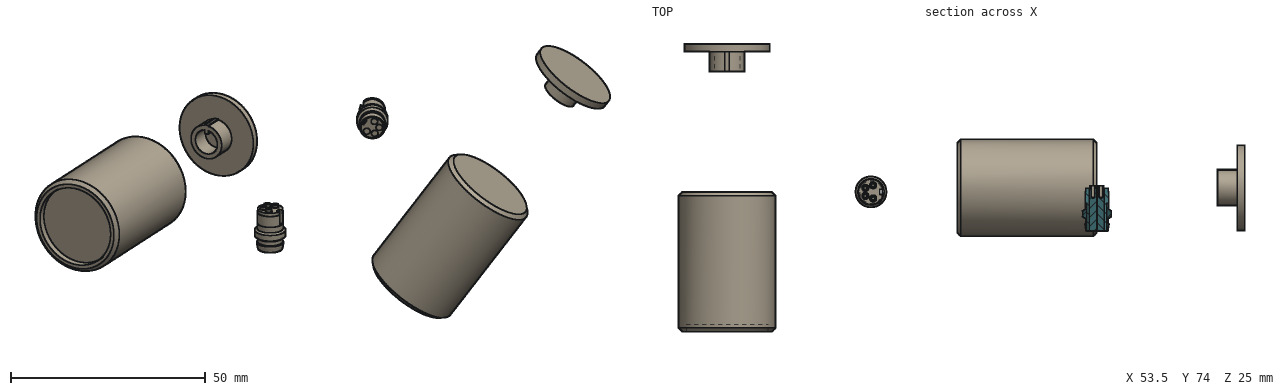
import cadquery as cq
import math

can_diameter = 25.0
can_length = 36.0
can_chamfer = 1.0
can_recess_diameter = 21.0
can_recess_depth = 2.0

cap_back_y = 74.0
cap_diameter = 22.0
cap_thickness = 2.0
hub_diameter = 9.1
hub_length = 5.1
hub_bore_diameter = 6.5
hub_key_width = 1.1
hub_key_bottom_z = 2.3
hub_key_top_z = 4.7

connector_x = 37.0
connector_y = can_length
connector_bottom_z = -11.1

shell_bore_diameter = 5.8
shell_neck_diameter = 6.5
shell_ring_diameter = 6.9
shell_collar_diameter = 8.0
shell_top_diameter = 6.7
shell_foot_chamfer_width = 0.1
shell_foot_chamfer_height = 0.2
shell_ring_bottom = 1.3
shell_ring_top = 1.8
shell_neck_bottom = 2.0
shell_neck_top = 3.1
shell_collar_bottom = 3.6
shell_collar_top = 5.2
shell_shoulder = 5.6
shell_top = 7.2

insert_head_diameter = 6.5
insert_height = 11.0
insert_sleeve_diameter = shell_top_diameter
insert_sleeve_top = 10.15
keyway_width = 1.3
keyway_floor_x = 2.3

contact_circle_radius = 1.8
contact_angles = (-145, -72, 72, 145)
contact_body_diameter = 1.7
contact_tip_diameter = 1.55
contact_tip_height = 0.7
contact_bore_diameter = 0.9
contact_bore_depth = 2.95
contact_lead_in_diameter = 1.0
contact_drill_point_depth = 0.3


def revolve_about_z(profile):
    """Revolve a closed (radius, height) profile a full turn about the Z axis."""
    return cq.Workplane("XZ").polyline(profile).close().revolve(360, (0, 0, 0), (0, 1, 0))


def place_connector_part(part):
    return part.translate((connector_x, connector_y, connector_bottom_z))


def make_can():
    body = cq.Workplane("XZ").circle(can_diameter / 2).extrude(-can_length)
    body = body.faces("<Y or >Y").chamfer(can_chamfer)
    recess = cq.Workplane("XZ").circle(can_recess_diameter / 2).extrude(-can_recess_depth)
    return body.cut(recess)


def make_cap():
    disc_front = cq.Workplane("XZ", origin=(0, cap_back_y - cap_thickness, 0))
    disc = disc_front.circle(cap_diameter / 2).extrude(-cap_thickness)
    hub = disc_front.circle(hub_diameter / 2).circle(hub_bore_diameter / 2).extrude(hub_length)
    key_height = hub_key_top_z - hub_key_bottom_z
    key = (
        disc_front.center(0, hub_key_bottom_z + key_height / 2)
        .rect(hub_key_width, key_height)
        .extrude(hub_length)
    )
    return disc.union(hub).union(key)


def make_shell():
    bore_radius = shell_bore_diameter / 2
    neck_radius = shell_neck_diameter / 2
    ring_radius = shell_ring_diameter / 2
    collar_radius = shell_collar_diameter / 2
    top_radius = shell_top_diameter / 2
    profile = [
        (bore_radius, 0),
        (neck_radius - shell_foot_chamfer_width, 0),
        (neck_radius, shell_foot_chamfer_height),
        (ring_radius, shell_ring_bottom),
        (ring_radius, shell_ring_top),
        (neck_radius, shell_neck_bottom),
        (neck_radius, shell_neck_top),
        (collar_radius, shell_collar_bottom),
        (collar_radius, shell_collar_top),
        (top_radius, shell_shoulder),
        (top_radius, shell_top),
        (bore_radius, shell_top),
    ]
    return place_connector_part(revolve_about_z(profile))


def contact_centres():
    return [
        (
            contact_circle_radius * math.cos(math.radians(angle)),
            contact_circle_radius * math.sin(math.radians(angle)),
        )
        for angle in contact_angles
    ]


def make_insert():
    shank = cq.Workplane("XY").circle(shell_bore_diameter / 2).extrude(shell_top)
    head = (
        cq.Workplane("XY", origin=(0, 0, shell_top))
        .circle(insert_head_diameter / 2)
        .extrude(insert_height - shell_top)
    )
    sleeve_height = insert_sleeve_top - shell_top
    sleeve_start = cq.Workplane("XY", origin=(0, 0, shell_top))
    sleeve = (
        sleeve_start.circle(insert_sleeve_diameter / 2)
        .circle(insert_head_diameter / 2)
        .extrude(sleeve_height)
    )
    sleeve_gap = (
        sleeve_start.center(-insert_sleeve_diameter / 2, 0)
        .rect(insert_sleeve_diameter, keyway_width)
        .extrude(sleeve_height)
    )
    body = shank.union(head).union(sleeve.cut(sleeve_gap))
    keyway = (
        cq.Workplane("XY")
        .center(keyway_floor_x + insert_sleeve_diameter / 2, 0)
        .rect(insert_sleeve_diameter, keyway_width)
        .extrude(insert_height)
    )
    contact_holes = (
        cq.Workplane("XY")
        .pushPoints(contact_centres())
        .circle(contact_body_diameter / 2)
        .extrude(insert_height)
    )
    return place_connector_part(body.cut(keyway).cut(contact_holes))


def make_contact(x, y):
    body_radius = contact_body_diameter / 2
    tip_radius = contact_tip_diameter / 2
    bore_radius = contact_bore_diameter / 2
    lead_in_radius = contact_lead_in_diameter / 2
    tip_z = insert_height + contact_tip_height
    bore_bottom_z = tip_z - contact_bore_depth
    profile = [
        (0, 0),
        (body_radius, 0),
        (body_radius, insert_height),
        (tip_radius, insert_height),
        (tip_radius, tip_z),
        (lead_in_radius, tip_z),
        (bore_radius, tip_z - (lead_in_radius - bore_radius)),
        (bore_radius, bore_bottom_z),
        (0, bore_bottom_z - contact_drill_point_depth),
    ]
    return place_connector_part(revolve_about_z(profile).translate((x, y, 0)))


can = make_can()
cap = make_cap()
shell = make_shell()
insert = make_insert()
contacts = [make_contact(x, y) for x, y in contact_centres()]

result = cq.Compound.makeCompound(
    [can.val(), cap.val(), shell.val(), insert.val(), *[contact.val() for contact in contacts]]
)